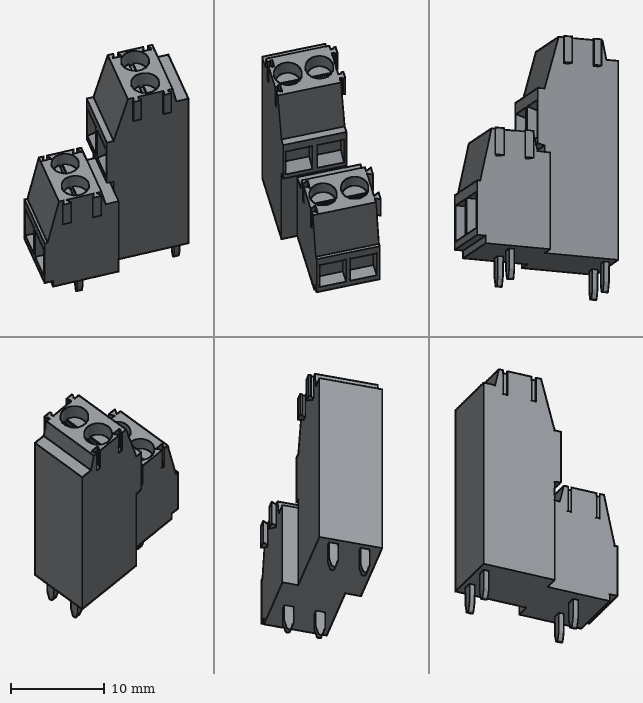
import cadquery as cq


POLE_PITCH = 3.5
POLES_PER_TIER = 2
TIER_WIDTH = POLES_PER_TIER * POLE_PITCH
TIER_STAGGER = POLE_PITCH / 2
LOWER_TIER_X = TIER_STAGGER
UPPER_TIER_X = 0
TIER_SPLIT_Y = 8.33
BACK_Y = 16.75

UPPER_TOP_Z = 24.05
UPPER_TOP_FRONT_Y = 9.95
UPPER_TOP_BACK_Y = 14.95
UPPER_SHOULDER_Y = 15.4
UPPER_NOSE_Y = 7.55
UPPER_NOSE_TOP_Z = 18.18
UPPER_NOSE_BOTTOM_Z = 12.07
UPPER_NOSE_ROOT_Z = 11.9

LOWER_TOP_Z = 12.75
LOWER_TOP_FRONT_Y = 1.6
LOWER_TOP_BACK_Y = 6.4
LOWER_SHOULDER_Y = 6.88
LOWER_NOSE_Y = 0
LOWER_SLOPE_FOOT_Y = 0.33
LOWER_NOSE_TOP_Z = 6.88
LOWER_FOOT_Y = 0.95
LOWER_FOOT_Z = 0.85

SHOULDER_DROP = 2.05

TAB_REACH = 0.6
TAB_SPACING = 3.39
UPPER_TAB_CENTER_Y = 12.5
LOWER_TAB_CENTER_Y = 4.0
UPPER_TAB_HEIGHT = 2.9
UPPER_TAB_STEM_HALF = 0.27
UPPER_TAB_HEAD_HALF = 0.45
UPPER_TAB_STEM_REACH = 0.25
UPPER_TAB_HEAD_START = 0.38
LOWER_TAB_HEIGHT = 2.98
LOWER_TAB_ROOT_HALF = 0.16
LOWER_TAB_END_HALF = 0.5

UPPER_SCREW_Y = 12.45
UPPER_BORE_RADIUS = 1.5
UPPER_SCREW_RADIUS = 1.4
UPPER_SCREW_RECESS = 1.75
UPPER_SLOT_WIDTH = 0.45
LOWER_SCREW_Y = 4.0
LOWER_BORE_RADIUS = 1.47
LOWER_SCREW_RADIUS = 1.42
LOWER_SCREW_RECESS = 1.55
LOWER_SLOT_WIDTH = 0.33
SCREW_HEIGHT = 1.1
SLOT_DEPTH = 0.27

WINDOW_DEPTH = 1.4
UPPER_WINDOW_WIDTH = 2.95
UPPER_WINDOW_SPACING = POLE_PITCH
UPPER_WINDOW_BOTTOM_Z = 12.75
UPPER_WINDOW_TOP_Z = 16.9
UPPER_WINDOW_TAPER = 0.4
LOWER_WINDOW_WIDTH = 2.92
LOWER_WINDOW_SPACING = 3.39
LOWER_WINDOW_BOTTOM_Z = 1.7
LOWER_WINDOW_TOP_Z = 5.68
LOWER_WINDOW_TAPER = 0

PIN_WIDTH = 1.0
PIN_THICKNESS = 0.6
PIN_LENGTH = 3.25
PIN_STRAIGHT_LENGTH = 2.2
PIN_TAPER_END = 3.0
PIN_TIP_WIDTH = 0.55
UPPER_PIN_Y = 15.85
LOWER_PIN_Y = 4.4


def pair_about(center, spacing):
    """Two positions, one on each side of a center."""
    return [center - spacing / 2, center + spacing / 2]


def pole_centers(tier_x):
    """X positions of the pole axes of a tier."""
    return [tier_x + (pole + 0.5) * POLE_PITCH for pole in range(POLES_PER_TIER)]


def tier_block(outline, tier_x):
    """Extrude a (Y, Z) outline over the width of a tier."""
    return cq.Workplane("YZ", origin=(tier_x, 0, 0)).polyline(outline).close().extrude(TIER_WIDTH)


def upper_block():
    shoulder_z = UPPER_TOP_Z - SHOULDER_DROP
    outline = [
        (TIER_SPLIT_Y, 0),
        (BACK_Y, 0),
        (BACK_Y, shoulder_z),
        (UPPER_SHOULDER_Y, shoulder_z),
        (UPPER_TOP_BACK_Y, UPPER_TOP_Z),
        (UPPER_TOP_FRONT_Y, UPPER_TOP_Z),
        (TIER_SPLIT_Y, UPPER_NOSE_TOP_Z),
        (UPPER_NOSE_Y, UPPER_NOSE_TOP_Z),
        (UPPER_NOSE_Y, UPPER_NOSE_BOTTOM_Z),
        (TIER_SPLIT_Y, UPPER_NOSE_ROOT_Z),
    ]
    return tier_block(outline, UPPER_TIER_X)


def lower_block():
    shoulder_z = LOWER_TOP_Z - SHOULDER_DROP
    outline = [
        (LOWER_FOOT_Y, 0),
        (TIER_SPLIT_Y, 0),
        (TIER_SPLIT_Y, shoulder_z),
        (LOWER_SHOULDER_Y, shoulder_z),
        (LOWER_TOP_BACK_Y, LOWER_TOP_Z),
        (LOWER_TOP_FRONT_Y, LOWER_TOP_Z),
        (LOWER_SLOPE_FOOT_Y, LOWER_NOSE_TOP_Z),
        (LOWER_NOSE_Y, LOWER_NOSE_TOP_Z),
        (LOWER_NOSE_Y, LOWER_FOOT_Z),
        (LOWER_FOOT_Y, LOWER_FOOT_Z),
    ]
    return tier_block(outline, LOWER_TIER_X)


def key_bar(half_outline, x, y, top_z, height):
    """Upright bar hanging from the top face; half_outline is (reach, half width) from root to end."""
    outline = half_outline + [(reach, -half) for reach, half in reversed(half_outline)]
    return cq.Workplane("XY", origin=(x, y, top_z)).polyline(outline).close().extrude(-height)


def add_keys(block, half_outline, tier_x, center_y, top_z, height):
    """Put tabs on the +X side and cut matching slots into the -X side."""
    for y in pair_about(center_y, TAB_SPACING):
        block = block.union(key_bar(half_outline, tier_x + TIER_WIDTH, y, top_z, height))
        block = block.cut(key_bar(half_outline, tier_x, y, top_z, height))
    return block


def cut_bores(block, tier_x, y, top_z, radius, recess):
    """Blind screw bores, open at the top face."""
    depth = recess + SCREW_HEIGHT
    for x in pole_centers(tier_x):
        bore = cq.Workplane("XY", origin=(x, y, top_z)).circle(radius).extrude(-depth)
        block = block.cut(bore)
    return block


def cut_windows(block, tier_x, nose_y, width, spacing, bottom_z, top_z, taper):
    """Wire-entry pockets in the front face, narrowing in height by the taper at floor and ceiling."""
    back_y = nose_y + WINDOW_DEPTH
    outline = [
        (nose_y, bottom_z),
        (back_y, bottom_z + taper),
        (back_y, top_z - taper),
        (nose_y, top_z),
    ]
    for x in pair_about(tier_x + TIER_WIDTH / 2, spacing):
        window = cq.Workplane("YZ", origin=(x - width / 2, 0, 0)).polyline(outline).close().extrude(width)
        block = block.cut(window)
    return block


def upper_tier():
    half_tab = [
        (0, UPPER_TAB_STEM_HALF),
        (UPPER_TAB_STEM_REACH, UPPER_TAB_STEM_HALF),
        (UPPER_TAB_HEAD_START, UPPER_TAB_HEAD_HALF),
        (TAB_REACH, UPPER_TAB_HEAD_HALF),
    ]
    block = upper_block()
    block = add_keys(block, half_tab, UPPER_TIER_X, UPPER_TAB_CENTER_Y, UPPER_TOP_Z, UPPER_TAB_HEIGHT)
    block = cut_bores(
        block, UPPER_TIER_X, UPPER_SCREW_Y, UPPER_TOP_Z, UPPER_BORE_RADIUS, UPPER_SCREW_RECESS
    )
    return cut_windows(
        block, UPPER_TIER_X, UPPER_NOSE_Y, UPPER_WINDOW_WIDTH, UPPER_WINDOW_SPACING,
        UPPER_WINDOW_BOTTOM_Z, UPPER_WINDOW_TOP_Z, UPPER_WINDOW_TAPER,
    )


def lower_tier():
    half_tab = [(0, LOWER_TAB_ROOT_HALF), (TAB_REACH, LOWER_TAB_END_HALF)]
    block = lower_block()
    block = add_keys(block, half_tab, LOWER_TIER_X, LOWER_TAB_CENTER_Y, LOWER_TOP_Z, LOWER_TAB_HEIGHT)
    block = cut_bores(
        block, LOWER_TIER_X, LOWER_SCREW_Y, LOWER_TOP_Z, LOWER_BORE_RADIUS, LOWER_SCREW_RECESS
    )
    return cut_windows(
        block, LOWER_TIER_X, LOWER_NOSE_Y, LOWER_WINDOW_WIDTH, LOWER_WINDOW_SPACING,
        LOWER_WINDOW_BOTTOM_Z, LOWER_WINDOW_TOP_Z, LOWER_WINDOW_TAPER,
    )


def make_screw(x, y, head_z, radius, slot_width):
    """Slotted screw standing on the floor of its bore, with its slot along X."""
    body = cq.Workplane("XY", origin=(x, y, head_z)).circle(radius).extrude(-SCREW_HEIGHT)
    slot = cq.Workplane("XY", origin=(x, y, head_z)).rect(2 * radius, slot_width).extrude(-SLOT_DEPTH)
    return body.cut(slot)


def make_pin(x, y):
    """Flat solder pin under the housing, tapering to a rounded tip."""
    half_width = PIN_WIDTH / 2
    half_tip = PIN_TIP_WIDTH / 2
    return (
        cq.Workplane("XZ", origin=(x, y + PIN_THICKNESS / 2, 0))
        .moveTo(-half_width, 0)
        .lineTo(-half_width, -PIN_STRAIGHT_LENGTH)
        .lineTo(-half_tip, -PIN_TAPER_END)
        .threePointArc((0, -PIN_LENGTH), (half_tip, -PIN_TAPER_END))
        .lineTo(half_width, -PIN_STRAIGHT_LENGTH)
        .lineTo(half_width, 0)
        .close()
        .extrude(PIN_THICKNESS)
    )


housing = upper_tier().union(lower_tier())

screws = []
pins = []
for x in pole_centers(UPPER_TIER_X):
    head_z = UPPER_TOP_Z - UPPER_SCREW_RECESS
    screws.append(make_screw(x, UPPER_SCREW_Y, head_z, UPPER_SCREW_RADIUS, UPPER_SLOT_WIDTH))
    pins.append(make_pin(x, UPPER_PIN_Y))
for x in pole_centers(LOWER_TIER_X):
    head_z = LOWER_TOP_Z - LOWER_SCREW_RECESS
    screws.append(make_screw(x, LOWER_SCREW_Y, head_z, LOWER_SCREW_RADIUS, LOWER_SLOT_WIDTH))
    pins.append(make_pin(x, LOWER_PIN_Y))

result = cq.Compound.makeCompound([
    housing.val(),
    *[screw.val() for screw in screws],
    *[pin.val() for pin in pins],
])